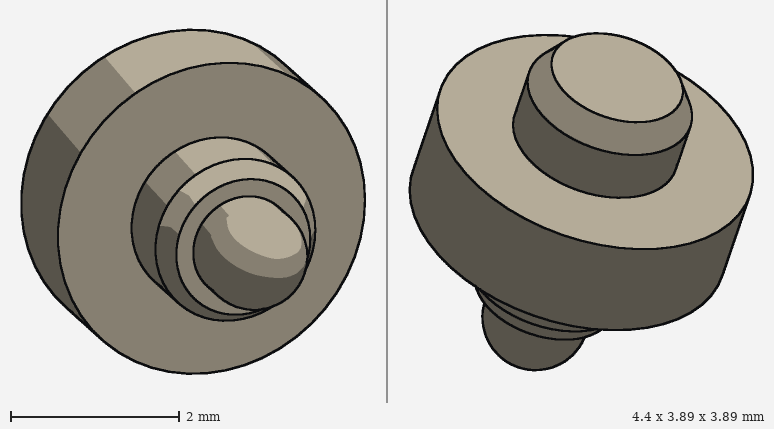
import cadquery as cq
import math

total_length = 4.4
shaft_radius = 1.01
flange_radius = 3.89 / 2
flange_start = 1.01
flange_width = 1.275
shaft_end = 3.39
tip_radius = 0.635

taper_angle = math.radians(31)
rear_taper_length = 0.34
front_taper_length = 0.275

flange_end = flange_start + flange_width
rear_radius = shaft_radius - rear_taper_length * math.tan(taper_angle)
front_radius = shaft_radius - front_taper_length * math.tan(taper_angle)
dome_center = total_length - tip_radius
dome_mid_offset = tip_radius * math.sqrt(0.5)

profile = (
    cq.Workplane("XY")
    .moveTo(0, 0)
    .lineTo(0, rear_radius)
    .lineTo(rear_taper_length, shaft_radius)
    .lineTo(flange_start, shaft_radius)
    .lineTo(flange_start, flange_radius)
    .lineTo(flange_end, flange_radius)
    .lineTo(flange_end, shaft_radius)
    .lineTo(shaft_end - front_taper_length, shaft_radius)
    .lineTo(shaft_end, front_radius)
    .lineTo(shaft_end, tip_radius)
    .lineTo(dome_center, tip_radius)
    .threePointArc((dome_center + dome_mid_offset, dome_mid_offset), (total_length, 0))
    .close()
)

result = profile.revolve(360, (0, 0, 0), (1, 0, 0))